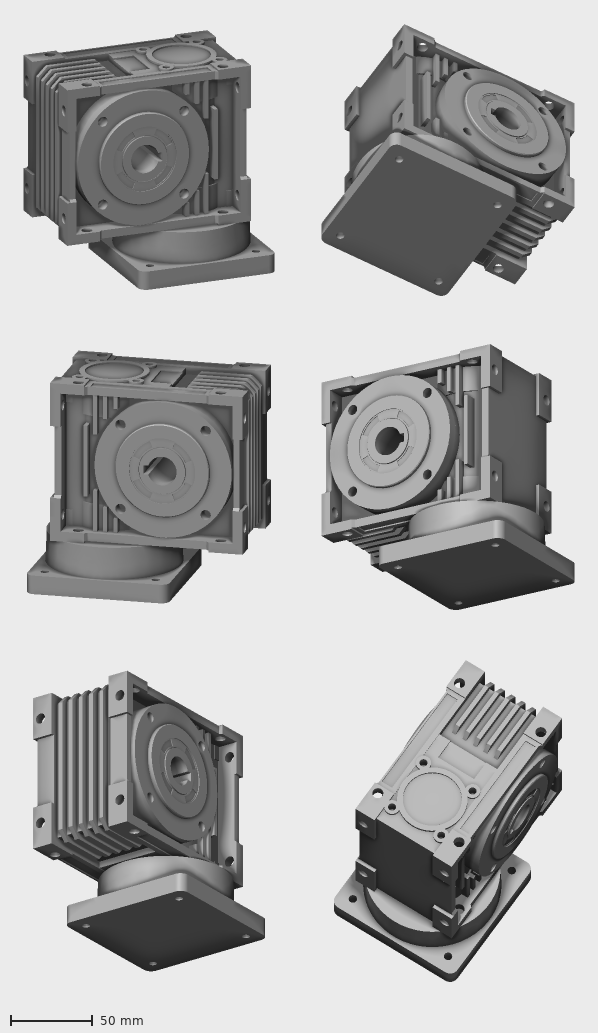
import cadquery as cq
import math


total_length = 135
flange_side = 90.0

body_half_width = 21.5
body_front = -44.1
body_back = 69.4
body_half_height = 48.9
low_half_height = 44.7
step_y = 0.3

worm_y = 40.0
worm_boss_radius = 21.6
worm_dish_radius = 18.1
worm_dish_depth = 1.1
ear_count = 4
ear_bolt_radius = 25.2
ear_first_angle = 46.2
ear_radius = 4.7
ear_hole_radius = 2.4
ear_hole_depth = 8.1
worm_tube_radius = 25.1
worm_tube_boss_radius = 26.2
worm_tube_boss_start = 28.1

plate_length_x = 26.5
plate_length_y = 13.5
plate_depth = 1.1

fin_count = 5
fin_pitch = 7.7
fin_width = 2.8
fin_start_y = -6.6
fin_front = -49.3
fin_chamfer = 6.3

lug_outer_x = 35.5
lug_front = worm_y + flange_side / 2 - total_length
lug_back = 71.7
lug_half_height = 50.5
lug_length_y = 21.6
lug_length_z = 27.5
rail_outer_x = 33.9
rail_front = -47.8
rail_half_height = 49.4
ramp_length = 1.6
window_front = -43.7
window_back = 65.0
window_half_height = 44.1
rail_groove_inner_x = 25.1
rail_groove_outer_x = 32.7
rail_groove_front = -25.2
rail_groove_back = 46.8
rail_groove_depth = 0.8
lug_hole_radius = 3.4
lug_hole_x = 30.0
lug_hole_offset_z = 35.0
lug_hole_front_y = -34.8
lug_hole_back_y = 55.2

rib_outer_x = 30.0
rib_width = 2.5
long_rib_y = 50.8
long_rib_half_height = 22.7
end_ribs = [(44.5, 18.0), (38.3, 28.2), (31.7, 35.1)]
pad_length_y = 4.0
upper_pad_inner_z = 35.0
lower_pad_inner_z = -33.8
pad_thickness = 0.7

hub_z = 0.4
hub_diagonal_angle = 45
hub_base_radius = 43.2
hub_base_x = rib_outer_x
cover_radius = 43.3
cover_x = 36.5
collar_radius = 29.7
collar_x = 39.0
collar_chamfer = 0.5
cover_hole_count = 4
cover_hole_circle = 38.1
cover_hole_radius = 3.2
cover_hole_depth = 9.5
seal_outer_radius = 20.9
seal_inner_radius = 15.0
seal_depth = 0.5
shaft_gap_inner_radius = 14.6
shaft_gap_depth = 1.4
sector_margin = 0.8
sector_depth = 0.5
sector_count = cover_hole_count
sector_angle = 44
bore_radius = 9.2
key_width = 5.7
key_reach = 11.9

flange_corner_radius = 5.4
flange_bottom = -82.5
flange_top = -70.6
flange_hole_offset = 35.1
flange_hole_radius = 2.5
neck_top_radius = 41.7
neck_bottom_radius = 42.4


def block(x, y, z):
    """Box given by its (min, max) range along each axis."""
    return cq.Workplane("XY").box(
        x[1] - x[0], y[1] - y[0], z[1] - z[0], centered=False
    ).translate((x[0], y[0], z[0]))


def rod(axis_plane, centre, radius, length):
    """Cylinder grown from a global point along the normal of a named plane."""
    return cq.Workplane(axis_plane, origin=centre).circle(radius).extrude(length)


def with_mirror(shape, plane):
    return shape.union(shape.mirror(plane))


def make_body():
    rear = block(
        (-body_half_width, body_half_width),
        (step_y, body_back),
        (-body_half_height, body_half_height),
    )
    front = block(
        (-body_half_width, body_half_width),
        (body_front, step_y),
        (-low_half_height, low_half_height),
    )
    plate = block(
        (-plate_length_x / 2, plate_length_x / 2),
        (step_y, step_y + plate_length_y),
        (body_half_height - plate_depth, body_half_height),
    )
    return rear.cut(plate).union(front)


def make_fins():
    rise = body_half_height - low_half_height
    upper_outline = [
        (fin_start_y, low_half_height),
        (fin_start_y - rise, body_half_height),
        (fin_front + fin_chamfer, body_half_height),
        (fin_front, body_half_height - fin_chamfer),
    ]
    lower_outline = [(y, -z) for y, z in reversed(upper_outline)]
    fins = cq.Workplane("XY")
    for index in range(fin_count):
        x = (index - (fin_count - 1) / 2) * fin_pitch
        fin = (
            cq.Workplane("YZ", origin=(x, 0, 0))
            .polyline(upper_outline + lower_outline)
            .close()
            .extrude(fin_width / 2, both=True)
        )
        fins = fins.union(fin)
    return fins


def ear_points():
    step = 360 / ear_count
    angles = [math.radians(ear_first_angle + step * index) for index in range(ear_count)]
    return [(ear_bolt_radius * math.cos(a), ear_bolt_radius * math.sin(a)) for a in angles]


def make_worm_boss():
    """Round pad with four screw ears around the worm axis, on the top face."""
    boss_height = lug_half_height - body_half_height
    base = cq.Workplane("XY", origin=(0, worm_y, body_half_height))
    pad = base.circle(worm_boss_radius).extrude(boss_height)
    ears = base.pushPoints(ear_points()).circle(ear_radius).extrude(boss_height)
    return pad.union(ears)


def make_worm_boss_cuts():
    face = cq.Workplane("XY", origin=(0, worm_y, lug_half_height))
    dish = face.circle(worm_dish_radius).extrude(-worm_dish_depth)
    holes = face.pushPoints(ear_points()).circle(ear_hole_radius).extrude(-ear_hole_depth)
    return dish.union(holes)


def range_rect(plane, a, b):
    """Rectangle on a plane from its ranges along two local directions."""
    return plane.center((a[0] + a[1]) / 2, (b[0] + b[1]) / 2).rect(a[1] - a[0], b[1] - b[0])


def make_ramp_along_y(lug_end, direction):
    """Slope from the side of an upper lug in to the side of the upper rail."""
    big = cq.Workplane("XZ", origin=(0, lug_end, 0))
    big = range_rect(
        big, (body_half_width, lug_outer_x), (window_half_height, rail_half_height)
    )
    small = big.workplane(offset=-direction * ramp_length, origin=(0, lug_end, 0))
    return range_rect(
        small, (body_half_width, rail_outer_x), (window_half_height, rail_half_height)
    ).loft(ruled=True)


def make_ramp_along_z(rail_y):
    """Slope from the side of a lower lug in to the side of the upright rail above it."""
    lug_end = lug_length_z - lug_half_height
    big = range_rect(
        cq.Workplane("XY", origin=(0, 0, lug_end)), (body_half_width, lug_outer_x), rail_y
    )
    small = big.workplane(offset=ramp_length, origin=(0, 0, lug_end))
    return range_rect(small, (body_half_width, rail_outer_x), rail_y).loft(ruled=True)


def make_frame():
    """Frame on the +X side, with its window still open to the body wall."""
    frame = block(
        (body_half_width, rail_outer_x),
        (rail_front, body_back),
        (-rail_half_height, rail_half_height),
    )
    lug_x = (body_half_width, lug_outer_x)
    lug_z = (lug_half_height - lug_length_z, lug_half_height)
    front_end = lug_front + lug_length_y
    back_end = lug_back - lug_length_y
    for lug_y in [(lug_front, front_end), (back_end, lug_back)]:
        frame = frame.union(with_mirror(block(lug_x, lug_y, lug_z), "XY"))
    for lug_end, direction in [(front_end, 1), (back_end, -1)]:
        frame = frame.union(with_mirror(make_ramp_along_y(lug_end, direction), "XY"))
    for rail_y in [(rail_front, window_front), (window_back, body_back)]:
        frame = frame.union(make_ramp_along_z(rail_y))

    window = block(
        (body_half_width, lug_outer_x),
        (window_front, window_back),
        (-window_half_height, window_half_height),
    )
    groove = block(
        (rail_groove_inner_x, rail_groove_outer_x),
        (rail_groove_front, rail_groove_back),
        (rail_half_height - rail_groove_depth, rail_half_height),
    )
    return frame.cut(window).cut(with_mirror(groove, "XY"))


def make_lug_holes():
    """Vertical and lengthwise holes through the lugs of the +X frame."""
    holes = cq.Workplane("XY")
    for y in (lug_hole_front_y, lug_hole_back_y):
        holes = holes.union(
            rod("XY", (lug_hole_x, y, -lug_half_height), lug_hole_radius, 2 * lug_half_height)
        )
    for z in (hub_z - lug_hole_offset_z, hub_z + lug_hole_offset_z):
        holes = holes.union(
            rod("XZ", (lug_hole_x, lug_back, z), lug_hole_radius, lug_back - lug_front)
        )
    return holes


def make_window_details():
    """Worm housing, ribs and pads that stand on the window floor."""
    details = rod(
        "XY", (0, worm_y, -window_half_height), worm_tube_radius, 2 * window_half_height
    )
    upper_boss = rod(
        "XY",
        (0, worm_y, worm_tube_boss_start),
        worm_tube_boss_radius,
        window_half_height - worm_tube_boss_start,
    )
    details = details.union(with_mirror(upper_boss, "XY"))
    details = details.intersect(
        block(
            (0, lug_outer_x),
            (window_front, window_back),
            (-window_half_height, window_half_height),
        )
    )
    rib_x = (body_half_width, rib_outer_x)
    long_rib = block(
        rib_x,
        (long_rib_y - rib_width / 2, long_rib_y + rib_width / 2),
        (hub_z - long_rib_half_height, hub_z + long_rib_half_height),
    )
    details = details.union(long_rib)
    for y, inner_z in end_ribs:
        rib = block(
            rib_x, (y - rib_width / 2, y + rib_width / 2), (inner_z, window_half_height)
        )
        details = details.union(with_mirror(rib, "XY"))
    pad_heights = [
        (upper_pad_inner_z, window_half_height),
        (-window_half_height, lower_pad_inner_z),
    ]
    for pad_z in pad_heights:
        pad = block(
            (body_half_width, body_half_width + pad_thickness),
            (window_back - pad_length_y, window_back),
            pad_z,
        )
        details = details.union(pad)
    return details


def make_face_groove(outer_radius, inner_radius, depth):
    """Ring to cut into the end face of the collar."""
    return (
        cq.Workplane("YZ", origin=(collar_x, 0, 0))
        .circle(outer_radius)
        .circle(inner_radius)
        .extrude(-depth)
    )


def make_hub():
    """Output bearing cover on the +X side."""
    base = rod("YZ", (0, 0, 0), hub_base_radius, hub_base_x)
    cover = rod("YZ", (hub_base_x, 0, 0), cover_radius, cover_x - hub_base_x)
    collar = rod("YZ", (cover_x, 0, 0), collar_radius, collar_x - cover_x)
    collar = collar.faces(">X").chamfer(collar_chamfer)
    holes = (
        cq.Workplane("YZ", origin=(cover_x, 0, 0))
        .polarArray(cover_hole_circle, hub_diagonal_angle, 360, cover_hole_count)
        .circle(cover_hole_radius)
        .extrude(-cover_hole_depth)
    )
    hub = base.union(cover).union(collar).cut(holes)

    hub = hub.cut(make_face_groove(seal_outer_radius, seal_inner_radius, seal_depth))
    hub = hub.cut(make_face_groove(seal_inner_radius, shaft_gap_inner_radius, shaft_gap_depth))
    sector_profile = (
        cq.Workplane("XY")
        .moveTo(collar_x - seal_depth, seal_inner_radius + sector_margin)
        .lineTo(collar_x - seal_depth, seal_outer_radius - sector_margin)
        .lineTo(collar_x - seal_depth - sector_depth, seal_outer_radius - sector_margin)
        .lineTo(collar_x - seal_depth - sector_depth, seal_inner_radius + sector_margin)
        .close()
    )
    sector = sector_profile.revolve(sector_angle, (0, 0, 0), (1, 0, 0))
    for index in range(sector_count):
        start = hub_diagonal_angle + index * 360 / sector_count - sector_angle / 2
        hub = hub.cut(sector.rotate((0, 0, 0), (1, 0, 0), start))
    return hub.translate((0, 0, hub_z))


def make_bore():
    bore = rod("YZ", (-collar_x, 0, 0), bore_radius, 2 * collar_x)
    keyway = block((-collar_x, collar_x), (0, key_reach), (-key_width / 2, key_width / 2))
    return bore.union(keyway).translate((0, 0, hub_z))


def make_motor_flange():
    plate = (
        cq.Workplane("XY", origin=(0, worm_y, flange_bottom))
        .rect(flange_side, flange_side)
        .extrude(flange_top - flange_bottom)
        .edges("|Z")
        .fillet(flange_corner_radius)
    )
    holes = (
        cq.Workplane("XY", origin=(0, worm_y, flange_bottom))
        .rect(2 * flange_hole_offset, 2 * flange_hole_offset, forConstruction=True)
        .vertices()
        .circle(flange_hole_radius)
        .extrude(flange_top - flange_bottom)
    )
    neck = (
        cq.Workplane("XY", origin=(0, worm_y, flange_top))
        .circle(neck_bottom_radius)
        .workplane(offset=-lug_half_height - flange_top)
        .circle(neck_top_radius)
        .loft()
    )
    return plate.cut(holes).union(neck)


frame = make_frame().cut(make_lug_holes())
side = frame.union(make_window_details()).union(make_hub())

result = (
    make_body()
    .union(make_fins())
    .union(with_mirror(side, "YZ"))
    .union(with_mirror(make_worm_boss(), "XY"))
    .cut(make_worm_boss_cuts())
    .cut(make_bore())
    .union(make_motor_flange())
)